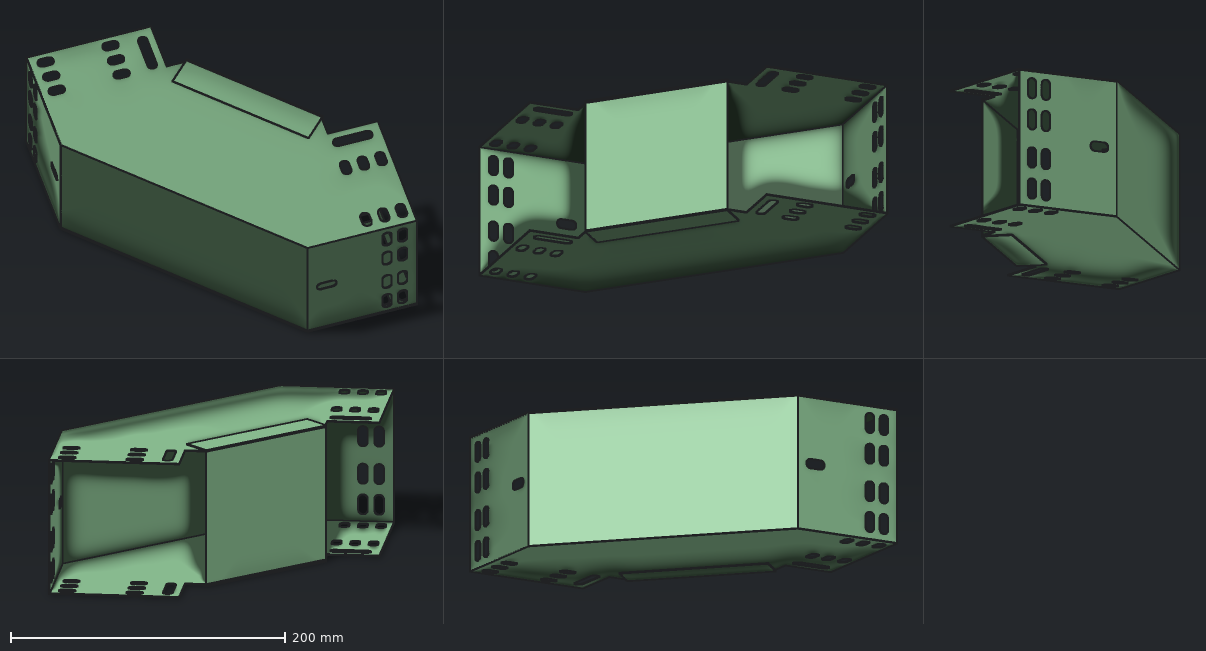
import cadquery as cq
import math


ARM_ANGLE = 45.0
DIAGONAL = math.sqrt(2)

LENGTH = 322.0
DEPTH = 127.0
HEIGHT = 103.0
SHEET = 0.8
TRAY_HEIGHT = HEIGHT - 2 * SHEET

OUTER_WALL_LENGTH = 203.5
END_RISE = 27.0
HALF_LENGTH = LENGTH / 2
HALF_WALL = OUTER_WALL_LENGTH / 2
END_CORNER_Y = HALF_LENGTH - HALF_WALL
PEAK_X = HALF_LENGTH - (DEPTH - END_CORNER_Y)
VALLEY_X = PEAK_X - END_RISE
VALLEY_Y = DEPTH - END_RISE
ARM_WIDTH = (DEPTH - END_CORNER_Y) * DIAGONAL

COVER_LENGTH = 112.0
COVER_FLANGE = 22.5
COVER_BACK_Y = 111.8
INNER_EDGE_Y = COVER_BACK_Y - SHEET

SLOT_WIDTH = 7.0
FLANGE_SLOT_LENGTH = 12.2
LONG_SLOT_LENGTH = 30.0
WALL_SLOT_LENGTH = 15.0

FLANGE_SLOT_FIRST_INSET = 8.0
FLANGE_SLOT_PITCH = 13.5
FLANGE_SLOTS_PER_ROW = 3
FLANGE_SLOT_INSETS = [
    FLANGE_SLOT_FIRST_INSET + i * FLANGE_SLOT_PITCH for i in range(FLANGE_SLOTS_PER_ROW)
]
FLANGE_SLOT_OFFSETS = [12.5, 62.2]
LONG_SLOT_INSET = 22.2
LONG_SLOT_EDGE_DISTANCE = 9.7
LONG_SLOT_OFFSET = ARM_WIDTH - LONG_SLOT_EDGE_DISTANCE
WALL_SLOT_INSETS = [11.0, 23.0]
WALL_SLOT_HEIGHTS = [14.2, 37.5]
ENTRY_SLOT_INSET = 69.0


def plan_prism(half_outline, height):
    """Prism centred on Z = 0 from the +X half of an outline, mirrored about X = 0."""
    mirrored = [(-x, y) for x, y in reversed(half_outline)]
    return (
        cq.Workplane("XY")
        .polyline(half_outline + mirrored)
        .close()
        .extrude(height / 2, both=True)
    )


def make_tray_shell():
    """U-section elbow with a flat top and bottom, open at both ends and at the back."""
    inner_edge_x = VALLEY_X - (INNER_EDGE_Y - VALLEY_Y)
    outer = plan_prism(
        [
            (HALF_WALL, 0),
            (HALF_LENGTH, END_CORNER_Y),
            (PEAK_X, DEPTH),
            (VALLEY_X, VALLEY_Y),
            (inner_edge_x, INNER_EDGE_Y),
        ],
        TRAY_HEIGHT,
    )
    inner_half_wall = HALF_WALL - SHEET * math.tan(math.radians(ARM_ANGLE / 2))
    hollow = plan_prism(
        [
            (inner_half_wall, SHEET),
            (inner_half_wall + DEPTH, SHEET + DEPTH),
        ],
        TRAY_HEIGHT - 2 * SHEET,
    )
    return outer.cut(hollow)


def arm_slots():
    """Slot cutters for the -X arm."""
    end_corner = (-HALF_LENGTH, END_CORNER_Y, 0)
    along_arm = (1, -1, 0)
    flange_plane = cq.Plane(origin=end_corner, xDir=along_arm, normal=(0, 0, 1))
    wall_plane = cq.Plane(origin=end_corner, xDir=along_arm, normal=(-1, -1, 0))

    flange_centres = [(inset, offset) for inset in FLANGE_SLOT_INSETS for offset in FLANGE_SLOT_OFFSETS]
    flange_slots = (
        cq.Workplane(flange_plane)
        .pushPoints(flange_centres)
        .slot2D(FLANGE_SLOT_LENGTH, SLOT_WIDTH, 90)
        .extrude(TRAY_HEIGHT, both=True)
    )
    long_slot = (
        cq.Workplane(flange_plane)
        .center(LONG_SLOT_INSET, LONG_SLOT_OFFSET)
        .slot2D(LONG_SLOT_LENGTH, SLOT_WIDTH)
        .extrude(TRAY_HEIGHT, both=True)
    )
    wall_centres = [
        (inset, side * height)
        for inset in WALL_SLOT_INSETS
        for height in WALL_SLOT_HEIGHTS
        for side in (-1, 1)
    ]
    wall_slots = (
        cq.Workplane(wall_plane)
        .pushPoints(wall_centres)
        .slot2D(WALL_SLOT_LENGTH, SLOT_WIDTH, 90)
        .extrude(2 * SHEET, both=True)
    )
    entry_slot = (
        cq.Workplane(wall_plane)
        .center(ENTRY_SLOT_INSET, 0)
        .slot2D(WALL_SLOT_LENGTH, SLOT_WIDTH)
        .extrude(2 * SHEET, both=True)
    )
    return [flange_slots, long_slot, wall_slots, entry_slot]


def make_tray():
    """Tray shell with the same slots in both arms."""
    tray = make_tray_shell()
    for slots in arm_slots():
        tray = tray.cut(slots).cut(slots.mirror("YZ"))
    return tray


def make_cover():
    """C-section plate whose flanges lap over the top and bottom of the tray."""
    block = cq.Workplane("XY").box(COVER_LENGTH, COVER_FLANGE, HEIGHT)
    gap = (
        cq.Workplane("XY")
        .box(COVER_LENGTH, COVER_FLANGE, TRAY_HEIGHT)
        .translate((0, -SHEET, 0))
    )
    return block.cut(gap).translate((0, COVER_BACK_Y - COVER_FLANGE / 2, 0))


tray = make_tray()
cover = make_cover()

result = cq.Compound.makeCompound([tray.val(), cover.val()])